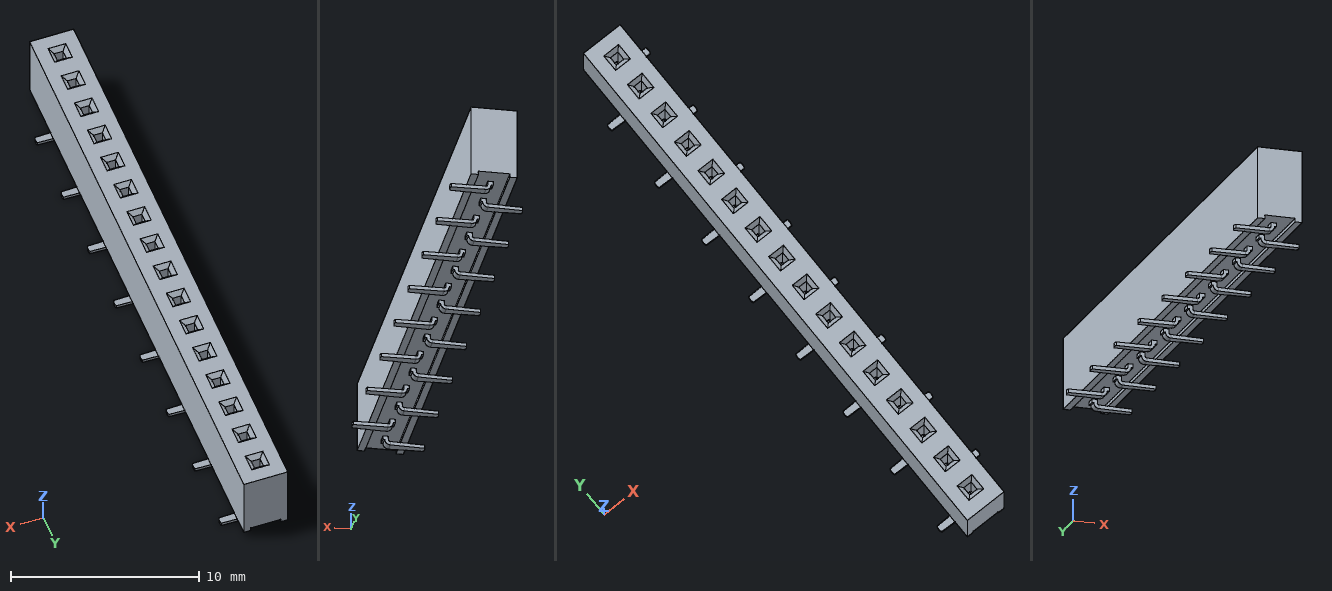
import cadquery as cq
import math


contact_count = 16
pitch = 2.0

housing_width = 2.5
housing_length = 32.6
overall_height = 4.3
standoff_height = 0.3
foot_width = 0.4
foot_height = 0.2
housing_height = overall_height - standoff_height
channel_width = housing_width - 2 * foot_width

socket_mouth = 1.0
socket_bore = 0.5
funnel_depth = (socket_mouth - socket_bore) / 2
socket_depth = 2.5
socket_floor = overall_height - socket_depth

lead_span = 4.3
lead_width = 0.5
tip_width = 0.4
tip_bulge = 0.04
lead_thickness = 0.2
bend_inner_radius = 0.1
bend_outer_radius = bend_inner_radius + lead_thickness

post_thickness = 0.3
post_protrusion = 0.2
post_bottom = bend_outer_radius
post_top = socket_floor + post_protrusion
bend_end = post_thickness / 2 + bend_inner_radius


def make_housing():
    """Rectangular bar with a channel along its underside, leaving two rails."""
    base = cq.Workplane("XY", origin=(0, 0, standoff_height))
    bar = base.rect(housing_width, housing_length).extrude(housing_height)
    channel = base.rect(channel_width, housing_length).extrude(foot_height)
    return bar.cut(channel)


def make_socket(y):
    """Square blind bore with a tapered lead-in, as a cutting body."""
    top = cq.Workplane("XY", origin=(0, y, overall_height))
    bore = top.rect(socket_bore, socket_bore).extrude(-socket_depth)
    funnel = (
        top.rect(socket_mouth, socket_mouth)
        .workplane(offset=-funnel_depth)
        .rect(socket_bore, socket_bore)
        .loft(ruled=True)
    )
    return bore.union(funnel)


def make_post(y):
    """Contact post from the top of the bend up into the socket."""
    base = cq.Workplane("XY", origin=(0, y, post_bottom))
    return base.rect(post_thickness, lead_width).extrude(post_top - post_bottom)


def make_lead(y, side):
    """Lead leaving towards +X (side = 1) or -X (side = -1): round bend and tapered foot."""
    inner_x = side * post_thickness / 2
    outer_x = inner_x - side * lead_thickness
    foot_start = side * bend_end
    foot_end = side * lead_span / 2
    tip_corner = foot_end - side * tip_bulge
    bend_sine = math.sqrt(0.5)
    outer_mid = (
        foot_start - side * bend_outer_radius * bend_sine,
        bend_outer_radius * (1 - bend_sine),
    )
    inner_mid = (
        foot_start - side * bend_inner_radius * bend_sine,
        bend_outer_radius - bend_inner_radius * bend_sine,
    )
    bend = (
        cq.Workplane("XZ", origin=(0, y + lead_width / 2, 0))
        .moveTo(outer_x, bend_outer_radius)
        .threePointArc(outer_mid, (foot_start, 0))
        .lineTo(foot_start, lead_thickness)
        .threePointArc(inner_mid, (inner_x, bend_outer_radius))
        .close()
        .extrude(lead_width)
    )
    foot = (
        cq.Workplane("XY", origin=(0, y, 0))
        .moveTo(foot_start, -lead_width / 2)
        .lineTo(tip_corner, -tip_width / 2)
        .threePointArc((foot_end, 0), (tip_corner, tip_width / 2))
        .lineTo(foot_start, lead_width / 2)
        .close()
        .extrude(lead_thickness)
    )
    return bend.union(foot)


def make_contact(y, side):
    """One complete contact: post and lead."""
    return make_post(y).union(make_lead(y, side))


def gather(bodies):
    """Collect separate bodies so that one boolean handles them all."""
    return cq.Workplane(cq.Compound.makeCompound([body.val() for body in bodies]))


contact_places = [(index - (contact_count - 1) / 2) * pitch for index in range(contact_count)]
contact_sides = [1 if index % 2 else -1 for index in range(contact_count)]

sockets = gather([make_socket(y) for y in contact_places])
contacts = gather([make_contact(y, side) for y, side in zip(contact_places, contact_sides)])

result = make_housing().cut(sockets).union(contacts).solids()